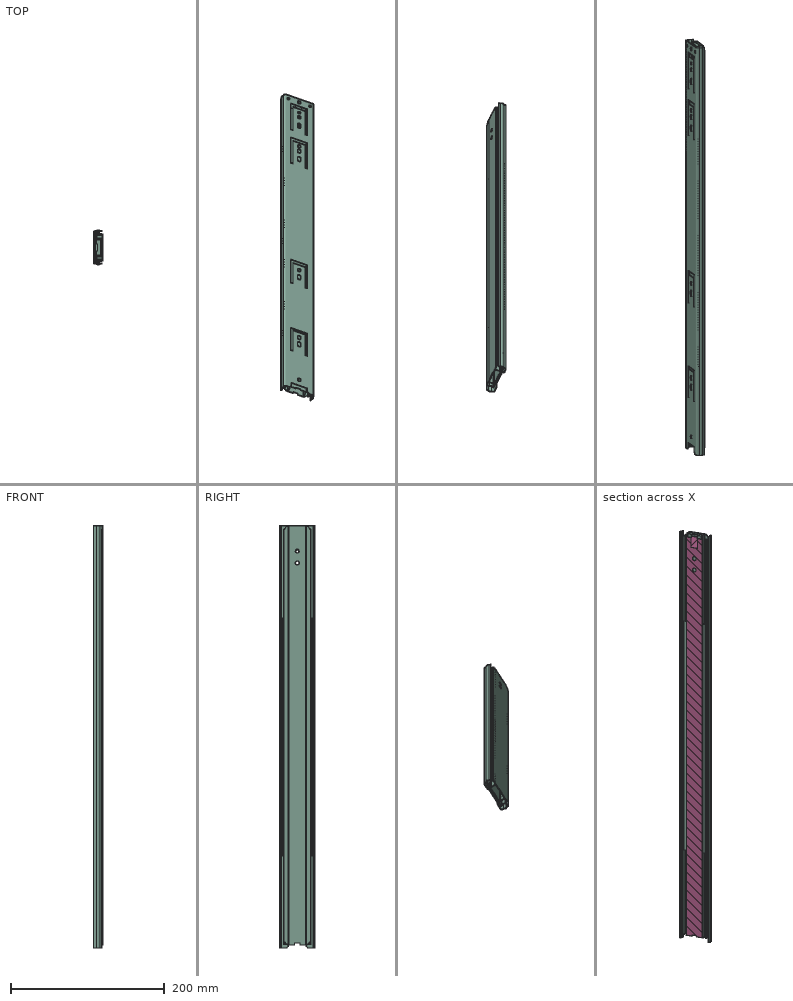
import cadquery as cq
import math

SLIDE_DEPTH = 12.8
SLIDE_HEIGHT = 45.7
SLIDE_LENGTH = 550.0
SHEET = 1.2
CLEARANCE = 0.2
RACE_X = SLIDE_DEPTH / 2

CABINET_DEPTH = 11.1
CABINET_CORNER = 2.4
CABINET_BULGE = 1.15
CABINET_BULGE_HALF = 2.5
CABINET_WALL_Y = SLIDE_HEIGHT / 2 - CABINET_BULGE

MIDDLE_BACK_X = 2.2
MIDDLE_FRONT_X = 10.6
MIDDLE_WALL_Y = 18.2
MIDDLE_GROOVE = 0.9
MIDDLE_GROOVE_HALF = 2.0
MIDDLE_STEP = 0.8
MIDDLE_STEP_Y = 10.8
MIDDLE_BOTTOM = 5.0
MIDDLE_TOP = 545.0
MIDDLE_WEB_FRONT_X = MIDDLE_BACK_X + MIDDLE_STEP + SHEET
END_NOTCH_WIDTH = 6.6
END_NOTCH_HEIGHT = 1.5

DRAWER_WEB_HALF = 17.6
DRAWER_FLANGE_Y = 11.8
DRAWER_BACK_X = 5.8
DRAWER_BOTTOM = 4.2
DRAWER_CORNER_CUT = 5.0

CAGE_BOTTOM = 120.0
CAGE_TOP = 430.0
OUTER_CAGE_X = (2.6, 7.8)
OUTER_CAGE_Y = (18.6, 20.1)
INNER_CAGE_FRONT_X = 11.4
INNER_CAGE_HALF = 15.7
INNER_CAGE_ARM = 3.6
INNER_CAGE_WEB = 0.8

STOP_FRONT_X = 9.8
STOP_WIDTH = 20.4
STOP_BOTTOM = 532.0
STOP_TOP = 549.0
STOP_BOSS_WIDTH = 9.0
STOP_BOSS_FRONT_X = 5.2
STOP_BOSS_TOP = 547.0

SCREW_HOLE = 5.0
TAB_WIDTH = 18.0
TAB_GAP = 3.0
TABS = [(536.0, 487.0, 5.0), (472.0, 424.0, 5.0), (241.5, 198.0, 5.0), (112.5, 70.5, 3.3)]
ROUND_HOLES = [
    (0, 543.5, SCREW_HOLE),
    (15.7, 543.5, 3.6),
    (-15.7, 543.5, 3.6),
    (0, 524.0, 4.0),
    (0, 515.5, SCREW_HOLE),
    (0, 460.5, SCREW_HOLE),
    (0, 227.0, SCREW_HOLE),
    (0, 20.0, SCREW_HOLE),
]
SLOTS = [(499.5, 8.5), (451.5, 6.5), (436.5, 8.5), (213.5, 8.5), (99.5, 6.5), (87.0, 8.5)]
ACCESS_HOLES = [517.0, 501.5]
FOOT_NOTCH_HALF = 11.6
FOOT_NOTCH_HEIGHT = 9.0
FOOT_NOTCH_FLARE = 2.5


def box(x_range, y_range, z_range):
    (x0, x1), (y0, y1), (z0, z1) = x_range, y_range, z_range
    return cq.Workplane("XY").box(x1 - x0, y1 - y0, z1 - z0, centered=False).translate((x0, y0, z0))


def centred_box(x_range, width, z_range):
    return box(x_range, (-width / 2, width / 2), z_range)


def extrude_mirrored(half_section, bottom, top):
    half = half_section.close().extrude(top - bottom).translate((0, 0, bottom))
    return half.union(half.mirror("XZ")).clean()


def hole_cutter(y, z, diameter):
    """A round bar along X through the whole depth."""
    return cq.Workplane("YZ").center(y, z).circle(diameter / 2).extrude(SLIDE_DEPTH)


def arc_radius(half_width, height):
    return (half_width**2 + height**2) / (2 * height)


def half_chord(radius, height):
    """Half the chord of an arc of this radius that rises by this height."""
    return math.sqrt(radius**2 - (radius - height) ** 2)


def cabinet_section():
    corner_centre = (CABINET_CORNER, CABINET_WALL_Y - CABINET_CORNER)
    inner_corner = CABINET_CORNER - SHEET
    inner_y = CABINET_WALL_Y - SHEET
    bulge_radius = arc_radius(CABINET_BULGE_HALF, CABINET_BULGE)
    inner_half = half_chord(bulge_radius - SHEET, CABINET_BULGE)

    def corner_middle(radius):
        reach = radius / math.sqrt(2)
        return (corner_centre[0] - reach, corner_centre[1] + reach)

    return (
        cq.Workplane("XY")
        .moveTo(0, 0)
        .lineTo(0, corner_centre[1])
        .threePointArc(corner_middle(CABINET_CORNER), (CABINET_CORNER, CABINET_WALL_Y))
        .lineTo(RACE_X - CABINET_BULGE_HALF, CABINET_WALL_Y)
        .threePointArc((RACE_X, SLIDE_HEIGHT / 2), (RACE_X + CABINET_BULGE_HALF, CABINET_WALL_Y))
        .lineTo(CABINET_DEPTH, CABINET_WALL_Y)
        .lineTo(CABINET_DEPTH, inner_y)
        .lineTo(RACE_X + inner_half, inner_y)
        .threePointArc((RACE_X, inner_y + CABINET_BULGE), (RACE_X - inner_half, inner_y))
        .lineTo(CABINET_CORNER, inner_y)
        .threePointArc(corner_middle(inner_corner), (SHEET, corner_centre[1]))
        .lineTo(SHEET, 0)
    )


def tab_gap_cutter(top, bottom, top_gap):
    """The U-shaped gap that frees a mounting tab on three sides."""
    around = centred_box((0, SHEET), TAB_WIDTH + 2 * TAB_GAP, (bottom, top))
    tab = centred_box((0, SHEET), TAB_WIDTH, (bottom, top - top_gap))
    return around.cut(tab)


def slot_cutter(z, length):
    return cq.Workplane("YZ").center(0, z).slot2D(length, SCREW_HOLE, 90).extrude(SHEET)


def foot_notch_cutter():
    flare_half = FOOT_NOTCH_HALF + FOOT_NOTCH_FLARE
    return (
        cq.Workplane("YZ")
        .moveTo(-flare_half, 0)
        .lineTo(-FOOT_NOTCH_HALF, FOOT_NOTCH_FLARE)
        .lineTo(-FOOT_NOTCH_HALF, FOOT_NOTCH_HEIGHT)
        .lineTo(FOOT_NOTCH_HALF, FOOT_NOTCH_HEIGHT)
        .lineTo(FOOT_NOTCH_HALF, FOOT_NOTCH_FLARE)
        .lineTo(flare_half, 0)
        .close()
        .extrude(SHEET)
    )


def make_cabinet_rail():
    rail = extrude_mirrored(cabinet_section(), 0, SLIDE_LENGTH)
    for tab in TABS:
        rail = rail.cut(tab_gap_cutter(*tab))
    for hole in ROUND_HOLES:
        rail = rail.cut(hole_cutter(*hole))
    for slot in SLOTS:
        rail = rail.cut(slot_cutter(*slot))
    return rail.cut(foot_notch_cutter())


def middle_section():
    inner_y = MIDDLE_WALL_Y - SHEET
    web_x = MIDDLE_BACK_X + MIDDLE_STEP
    groove_radius = arc_radius(MIDDLE_GROOVE_HALF, MIDDLE_GROOVE)
    inner_half = half_chord(groove_radius + SHEET, MIDDLE_GROOVE)
    return (
        cq.Workplane("XY")
        .moveTo(web_x, 0)
        .lineTo(web_x, MIDDLE_STEP_Y)
        .lineTo(MIDDLE_BACK_X, MIDDLE_STEP_Y)
        .lineTo(MIDDLE_BACK_X, MIDDLE_WALL_Y)
        .lineTo(RACE_X - MIDDLE_GROOVE_HALF, MIDDLE_WALL_Y)
        .threePointArc(
            (RACE_X, MIDDLE_WALL_Y - MIDDLE_GROOVE), (RACE_X + MIDDLE_GROOVE_HALF, MIDDLE_WALL_Y)
        )
        .lineTo(MIDDLE_FRONT_X, MIDDLE_WALL_Y)
        .lineTo(MIDDLE_FRONT_X, inner_y)
        .lineTo(RACE_X + inner_half, inner_y)
        .threePointArc((RACE_X, inner_y - MIDDLE_GROOVE), (RACE_X - inner_half, inner_y))
        .lineTo(MIDDLE_BACK_X + SHEET, inner_y)
        .lineTo(MIDDLE_BACK_X + SHEET, MIDDLE_STEP_Y + SHEET)
        .lineTo(MIDDLE_WEB_FRONT_X, MIDDLE_STEP_Y + SHEET)
        .lineTo(MIDDLE_WEB_FRONT_X, 0)
    )


def make_middle_rail():
    rail = extrude_mirrored(middle_section(), MIDDLE_BOTTOM, MIDDLE_TOP)
    web_x_range = (MIDDLE_BACK_X, MIDDLE_WEB_FRONT_X)
    rail = rail.cut(centred_box(web_x_range, STOP_BOSS_WIDTH, (STOP_BOTTOM, MIDDLE_TOP)))
    end_notch_z_range = (MIDDLE_BOTTOM, MIDDLE_BOTTOM + END_NOTCH_HEIGHT)
    rail = rail.cut(centred_box(web_x_range, END_NOTCH_WIDTH, end_notch_z_range))
    for z in ACCESS_HOLES:
        rail = rail.cut(hole_cutter(0, z, SCREW_HOLE))
    return rail


def drawer_section():
    web_x = SLIDE_DEPTH - SHEET
    flange_inner_y = DRAWER_FLANGE_Y - SHEET
    return (
        cq.Workplane("XY")
        .moveTo(SLIDE_DEPTH, 0)
        .lineTo(SLIDE_DEPTH, DRAWER_WEB_HALF)
        .lineTo(web_x, DRAWER_WEB_HALF)
        .lineTo(web_x, DRAWER_FLANGE_Y)
        .lineTo(DRAWER_BACK_X, DRAWER_FLANGE_Y)
        .lineTo(DRAWER_BACK_X, flange_inner_y)
        .lineTo(web_x, flange_inner_y)
        .lineTo(web_x, 0)
    )


def make_drawer_rail():
    rail = extrude_mirrored(drawer_section(), DRAWER_BOTTOM, SLIDE_LENGTH)
    web_blank = (
        cq.Workplane("YZ")
        .rect(2 * DRAWER_WEB_HALF, SLIDE_LENGTH - DRAWER_BOTTOM)
        .extrude(SLIDE_DEPTH)
        .edges("|X")
        .chamfer(DRAWER_CORNER_CUT)
        .translate((0, 0, (SLIDE_LENGTH + DRAWER_BOTTOM) / 2))
    )
    rail = rail.intersect(web_blank)
    end_notch_z_range = (DRAWER_BOTTOM, MIDDLE_BOTTOM + END_NOTCH_HEIGHT)
    rail = rail.cut(centred_box((DRAWER_BACK_X, SLIDE_DEPTH), END_NOTCH_WIDTH, end_notch_z_range))
    for z in ACCESS_HOLES:
        rail = rail.cut(hole_cutter(0, z, SCREW_HOLE))
    return rail


def make_outer_cage(side):
    """A strip between the cabinet rail's wall and the middle rail, on the +Y or -Y side."""
    near_y, far_y = sorted(side * y for y in OUTER_CAGE_Y)
    return box(OUTER_CAGE_X, (near_y, far_y), (CAGE_BOTTOM, CAGE_TOP))


def make_inner_cage():
    """A U-shaped cage: a web behind the drawer rail and an arm along each of its flanges."""
    back_x = MIDDLE_WEB_FRONT_X + CLEARANCE
    z_range = (CAGE_BOTTOM, CAGE_TOP)
    cage = centred_box((back_x, INNER_CAGE_FRONT_X), 2 * INNER_CAGE_HALF, z_range)
    space_x_range = (back_x + INNER_CAGE_WEB, INNER_CAGE_FRONT_X)
    return cage.cut(centred_box(space_x_range, 2 * (INNER_CAGE_HALF - INNER_CAGE_ARM), z_range))


def make_stop_block():
    """A block on the middle rail's web, with a shorter boss that fills the notch in that web."""
    body = centred_box((MIDDLE_WEB_FRONT_X, STOP_FRONT_X), STOP_WIDTH, (STOP_BOTTOM, STOP_TOP))
    boss_x_range = (MIDDLE_BACK_X, STOP_BOSS_FRONT_X)
    body = body.cut(centred_box(boss_x_range, STOP_BOSS_WIDTH, (STOP_BOSS_TOP, STOP_TOP)))
    return body.union(centred_box(boss_x_range, STOP_BOSS_WIDTH, (STOP_BOTTOM, STOP_BOSS_TOP)))


cabinet_rail = make_cabinet_rail()
middle_rail = make_middle_rail()
drawer_rail = make_drawer_rail()
outer_cages = [make_outer_cage(side) for side in (1, -1)]
inner_cage = make_inner_cage()
stop_block = make_stop_block()

result = cq.Compound.makeCompound(
    [
        cabinet_rail.val(),
        middle_rail.val(),
        drawer_rail.val(),
        *[cage.val() for cage in outer_cages],
        inner_cage.val(),
        stop_block.val(),
    ]
)